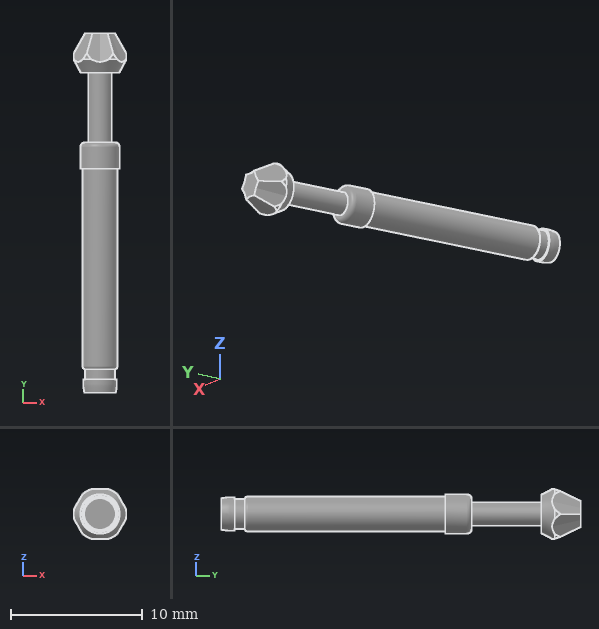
import cadquery as cq
import math

TOTAL_LENGTH = 27.3

FOOT_RADIUS = 1.28
FOOT_END_RADIUS = 1.2
FOOT_CROWN_LENGTH = 0.63
FOOT_LENGTH = 1.0
GROOVE_RADIUS = 1.15
GROOVE_LENGTH = 0.76

BARREL_RADIUS = 1.35
BARREL_END_ROUND = 0.25
COLLAR_RADIUS = 1.5
COLLAR_LENGTH = 2.02
COLLAR_ROUND = 0.38
COLLAR_TO_TIP = 8.27
SHAFT_RADIUS = 0.9

HEAD_LENGTH = 3.0
HEAD_DIAMETER = 4.0
HEAD_BACK_RADIUS = 1.47
HEAD_CONE_LENGTH = 1.0
RIDGE_COUNT = 6
TIP_RIDGE_RADIUS = 1.15
RIDGE_SLOPE = 0.56
CREASE_RATIO = 0.8

groove_start = FOOT_LENGTH
barrel_start = groove_start + GROOVE_LENGTH
collar_front = TOTAL_LENGTH - COLLAR_TO_TIP
collar_start = collar_front - COLLAR_LENGTH
head_start = TOTAL_LENGTH - HEAD_LENGTH
head_radius = HEAD_DIAMETER / 2


def cylinder(radius, start, end):
    """Solid cylinder on the Y axis between two Y positions."""
    return cq.Workplane("XZ", origin=(0, start, 0)).circle(radius).extrude(start - end)


def make_foot():
    """Foot whose rear end narrows along an arc tangent to its side."""
    drop = FOOT_RADIUS - FOOT_END_RADIUS
    crown_radius = (FOOT_CROWN_LENGTH**2 + drop**2) / (2 * drop)
    half_angle = math.asin(FOOT_CROWN_LENGTH / crown_radius) / 2
    crown_middle = (
        FOOT_RADIUS - crown_radius * (1 - math.cos(half_angle)),
        FOOT_CROWN_LENGTH - crown_radius * math.sin(half_angle),
    )
    return (
        cq.Workplane("XY")
        .lineTo(FOOT_END_RADIUS, 0)
        .threePointArc(crown_middle, (FOOT_RADIUS, FOOT_CROWN_LENGTH))
        .lineTo(FOOT_RADIUS, FOOT_LENGTH)
        .lineTo(0, FOOT_LENGTH)
        .close()
        .revolve(360, (0, 0, 0), (0, 1, 0))
    )


def star_points(ridge_radius):
    """Section of the pyramid: ridges alternating with slightly sunken creases."""
    points = []
    for index in range(2 * RIDGE_COUNT):
        angle = math.pi * index / RIDGE_COUNT
        radius = ridge_radius if index % 2 == 0 else ridge_radius * CREASE_RATIO
        points.append((radius * math.cos(angle), radius * math.sin(angle)))
    return points


def make_head():
    """Turned blank with a conical back, trimmed to the faceted pyramid."""
    blank = (
        cq.Workplane("XY")
        .moveTo(0, head_start)
        .lineTo(HEAD_BACK_RADIUS, head_start)
        .lineTo(head_radius, head_start + HEAD_CONE_LENGTH)
        .lineTo(head_radius, TOTAL_LENGTH)
        .lineTo(0, TOTAL_LENGTH)
        .close()
        .revolve(360, (0, 0, 0), (0, 1, 0))
    )
    pyramid = (
        cq.Workplane("XZ", origin=(0, TOTAL_LENGTH, 0))
        .polyline(star_points(TIP_RIDGE_RADIUS))
        .close()
        .workplane(offset=HEAD_LENGTH)
        .polyline(star_points(TIP_RIDGE_RADIUS + RIDGE_SLOPE * HEAD_LENGTH))
        .close()
        .loft(ruled=True)
    )
    return blank.intersect(pyramid)


groove = cylinder(GROOVE_RADIUS, groove_start, barrel_start)
barrel = cylinder(BARREL_RADIUS, barrel_start, collar_start).faces("<Y").edges().fillet(BARREL_END_ROUND)
collar = cylinder(COLLAR_RADIUS, collar_start, collar_front).faces(">Y").edges().fillet(COLLAR_ROUND)
shaft = cylinder(SHAFT_RADIUS, collar_front, head_start)

result = make_foot().union(groove).union(barrel).union(collar).union(shaft).union(make_head())